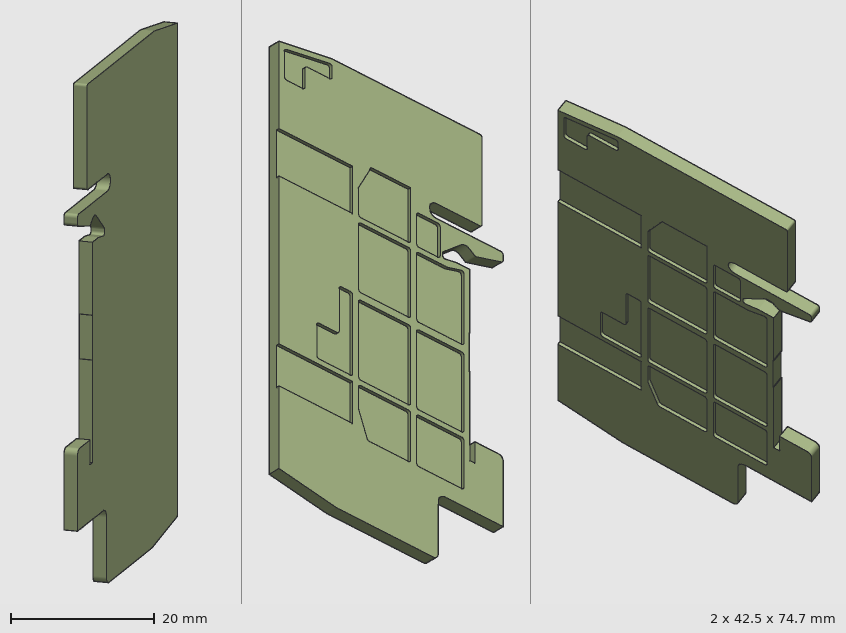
import cadquery as cq
import math

thickness = 2.0
depth = 42.5
height = 74.7
pocket_depth = 0.5

touching_distance = 0.001

top_bevel_y = 32.5
top_bevel_z = 73.1
bottom_bevel_y = 31.6
bottom_bevel_z = 1.65
head_front = 4.0
head_corner_radius = 0.4
body_front = 6.35
body_top = 51.25

slot_bottom = 56.9
slot_top = 59.4
slot_end = 14.0
slot_radius = (slot_top - slot_bottom) / 2

arm_tip_bottom = 55.3
arm_tip_radius = 0.5
catch_y = 5.3
catch_z = 53.85
catch_radius = 0.4
hollow_peak_y = 7.25
hollow_peak_z = 55.2
hollow_peak_radius = 1.35
hollow_root_y = 11.5
hollow_root_top = 51.85
hollow_root_bottom = 50.8
hollow_root_radius = 0.45
ledge_y = 8.9

relief_depth = 0.1
relief_bottom = 34.15
relief_top = 40.6

notch_bottom = 19.3
notch_front = 5.4
foot_top = 22.85
foot_bottom = 11.05
foot_radius = 0.9
base_front = 12.3
base_inner_radius = 1.35
base_outer_radius = 1.0

corner_radius = 0.45
column_rib = 1.1
front_column = (7.5, 16.4)
middle_column = (front_column[1] + column_rib, 27.4)
back_column_front = middle_column[1] + column_rib
row_rib = 0.9
middle_row_rib = 1.3
row_1 = (13.9, 22.5)
row_2 = (row_1[1] + row_rib, 36.75)
row_3 = (row_2[1] + middle_row_rib, 49.7)
row_4_bottom = row_3[1] + row_rib

low_bevel_y = 25.7
low_bevel_z = 18.4
high_bevel_y = 25.0
high_bevel_z = 55.4
high_pocket_top = 59.8
small_pocket_front = 11.95
small_pocket_top = 56.25
slant_start_y = 10.6
slant_top = 50.5
low_channel_bottom = 15.5
high_channel_top = 58.5

boot_back = 35.3
boot_leg_back = 31.1
boot_top = 37.35
boot_step = 29.35

corner_pocket_back = 41.45
corner_pocket_front = 32.4
corner_pocket_leg_front = 37.6
corner_pocket_bottom = 67.2
corner_pocket_step = 71.2
corner_pocket_back_top = 72.3
corner_pocket_front_top = 73.8


def rounded_wire(corners):
    """Draw a closed YZ outline from (y, z, radius) corners; radius 0 leaves a corner sharp."""
    path = []
    for i, (y, z, radius) in enumerate(corners):
        here = cq.Vector(y, z)
        to_previous = (cq.Vector(*corners[i - 1][:2]) - here).normalized()
        to_next = (cq.Vector(*corners[(i + 1) % len(corners)][:2]) - here).normalized()
        half_angle = to_previous.getAngle(to_next) / 2
        setback = radius / math.tan(half_angle)
        bisector = (to_previous + to_next).normalized()
        arc_middle = here + bisector * (radius / math.sin(half_angle) - radius)
        path.append((here + to_previous * setback, arc_middle, here + to_next * setback, radius))

    position = path[0][2]
    sketch = cq.Workplane("YZ").moveTo(*position.toTuple()[:2])
    for start, middle, end, radius in path[1:] + path[:1]:
        if (start - position).Length > touching_distance:
            sketch = sketch.lineTo(*start.toTuple()[:2])
        if radius > 0:
            sketch = sketch.threePointArc(middle.toTuple()[:2], end.toTuple()[:2])
        position = end
    return sketch.close()


def pocket(corners):
    return rounded_wire(corners).extrude(pocket_depth)


def rounded(points):
    return [(y, z, corner_radius) for y, z in points]


def box_pocket(y_range, z_range, radius=corner_radius):
    (y0, y1), (z0, z1) = y_range, z_range
    return pocket([(y0, z0, radius), (y1, z0, radius), (y1, z1, radius), (y0, z1, radius)])


def plate():
    relief_front = body_front + relief_depth
    return rounded_wire([
        (bottom_bevel_y, 0, 0),
        (depth, bottom_bevel_z, 0),
        (depth, top_bevel_z, 0),
        (top_bevel_y, height, 0),
        (head_front, height, head_corner_radius),
        (head_front, slot_top, head_corner_radius),
        (slot_end, slot_top, slot_radius),
        (slot_end, slot_bottom, slot_radius),
        (0, slot_bottom, arm_tip_radius),
        (0, arm_tip_bottom, arm_tip_radius),
        (catch_y, catch_z, catch_radius),
        (hollow_peak_y, hollow_peak_z, hollow_peak_radius),
        (hollow_root_y, hollow_root_top, hollow_root_radius),
        (hollow_root_y, hollow_root_bottom, hollow_root_radius),
        (ledge_y, body_top, 0),
        (body_front, body_top, 0),
        (body_front, relief_top, 0),
        (relief_front, relief_top, 0),
        (relief_front, relief_bottom, 0),
        (body_front, relief_bottom, 0),
        (body_front, notch_bottom, 0),
        (notch_front, notch_bottom, 0),
        (notch_front, foot_top, 0),
        (0, foot_top, foot_radius),
        (0, foot_bottom, 0),
        (base_front, foot_bottom, base_inner_radius),
        (base_front, 0, base_outer_radius),
    ]).extrude(thickness)


def grid_pockets():
    front, back = middle_column
    low_beveled = pocket(rounded([
        (front, row_1[0]),
        (low_bevel_y, row_1[0]),
        (back, low_bevel_z),
        (back, row_1[1]),
        (front, row_1[1]),
    ]))
    high_beveled = pocket([
        (front, row_4_bottom, corner_radius),
        (back, row_4_bottom, corner_radius),
        (back, high_bevel_z, 0),
        (high_bevel_y, high_pocket_top, 0),
        (front, high_pocket_top, 0),
    ])
    slanted = pocket(rounded([
        (front_column[0], row_3[0]),
        (front_column[1], row_3[0]),
        (front_column[1], row_3[1]),
        (slant_start_y, row_3[1]),
        (front_column[0], slant_top),
    ]))
    return [
        low_beveled,
        high_beveled,
        slanted,
        box_pocket(front_column, row_1),
        box_pocket(front_column, row_2),
        box_pocket(middle_column, row_2),
        box_pocket(middle_column, row_3),
        box_pocket((small_pocket_front, front_column[1]), (row_4_bottom, small_pocket_top)),
    ]


def back_channels():
    """Square-cornered channels that run out through the back edge."""
    y_range = (back_column_front, depth)
    z_ranges = [(low_channel_bottom, row_1[1]), (row_4_bottom, high_channel_top)]
    return [box_pocket(y_range, z_range, radius=0) for z_range in z_ranges]


def boot_pocket():
    return pocket(rounded([
        (back_column_front, row_2[0]),
        (boot_back, row_2[0]),
        (boot_back, boot_step),
        (boot_leg_back, boot_step),
        (boot_leg_back, boot_top),
        (back_column_front, boot_top),
    ]))


def corner_pocket():
    return pocket(rounded([
        (corner_pocket_leg_front, corner_pocket_bottom),
        (corner_pocket_back, corner_pocket_bottom),
        (corner_pocket_back, corner_pocket_back_top),
        (corner_pocket_front, corner_pocket_front_top),
        (corner_pocket_front, corner_pocket_step),
        (corner_pocket_leg_front, corner_pocket_step),
    ]))


result = plate()
for recess in grid_pockets() + back_channels() + [boot_pocket(), corner_pocket()]:
    result = result.cut(recess)